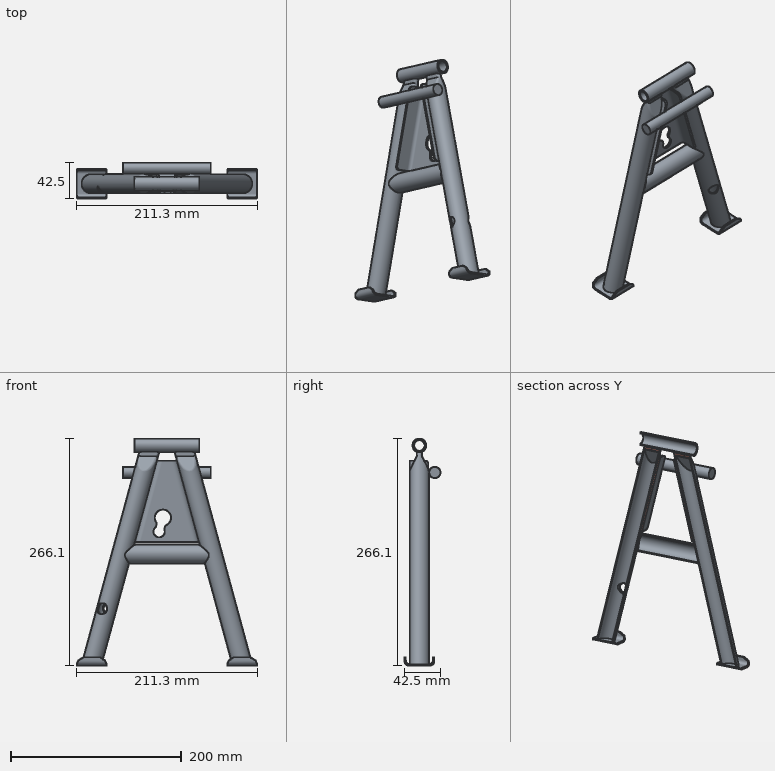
import cadquery as cq
import math

overall_length = 211.28
overall_height = 266.14

leg_diameter = 22.8
tube_wall = 2.0
leg_lean = 15.2
pinch_thickness = 6.2
pinch_top_z = 245.6
pinch_bottom_z = 228.5
pinch_edge_radius = 3.05

leg_hole_diameter = 13.0
leg_hole_z = 67.0
leg_hole_turn = 25.5
leg_hole_offset = 1.4

foot_length = 35.0
foot_width = 35.32
foot_height = 10.1
foot_sheet = 2.0
foot_bend_radius = 6.0
foot_top_length = 19.0
foot_clip_shoulder_length = 31.5
foot_clip_shoulder_z = 6.3
foot_clip_end_z = 2.0

pivot_diameter = 16.25
pivot_bore = 12.25
pivot_length = 76.0

rod_diameter = 13.4
rod_length = 103.0
rod_z = 226.4

crossbar_cope_diameter = 24.1
crossbar_z = 130.7

gusset_bottom_z = 144.9
gusset_top_z = 240.4
gusset_back_y = 10.5
gusset_sheet = 2.5
gusset_bend_radius = 6.4
gusset_corner_radius = 4.0

key_head_diameter = 18.8
key_foot_diameter = 13.0
key_neck_width = 10.0
key_spacing = 16.9
key_head_x = -4.7
key_head_z = 173.4
key_blend_radius = 2.0

selection_margin = 1.0

leg_radius = leg_diameter / 2
leg_bore = leg_diameter - 2 * tube_wall
lean_angle = math.radians(leg_lean)
lean_slope = math.tan(lean_angle)
flare_angle = math.atan2(leg_radius - pinch_thickness / 2, pinch_top_z - pinch_bottom_z)
foot_x = (overall_length - foot_length) / 2
pivot_z = overall_height - pivot_diameter / 2
gusset_front_y = -leg_radius
rod_y = leg_radius + rod_diameter / 2


def leg_axis_x(z):
    """Distance of a leg's axis from the middle plane at height z."""
    return foot_x - (z - foot_sheet) * lean_slope


def leaning_cylinder(diameter):
    """Cylinder along the left leg's axis, longer than the leg at both ends."""
    reach = overall_height / math.cos(lean_angle)
    below = leg_diameter
    return (
        cq.Workplane("XY")
        .workplane(offset=-below)
        .circle(diameter / 2)
        .extrude(reach + below)
        .rotate((0, 0, 0), (0, 0, 1), -90)
        .rotate((0, 0, 0), (0, 1, 0), leg_lean)
        .translate((-foot_x, 0, foot_sheet))
    )


def cylinder_along_x(diameter, length, y, z):
    return (
        cq.Workplane("YZ", origin=(-length / 2, 0, 0))
        .center(y, z)
        .circle(diameter / 2)
        .extrude(length)
    )


def mirrored(body):
    return body.mirror("YZ")


def pinch_prism(half_tip, top_z):
    """Prism along X with two bevels closing to a tip that rises straight to top_z."""
    half_base = leg_diameter
    bevel_start_z = pinch_top_z - (half_base - half_tip) / math.tan(flare_angle)
    return (
        cq.Workplane("YZ", origin=(-overall_length, 0, 0))
        .moveTo(-half_base, foot_sheet)
        .lineTo(-half_base, bevel_start_z)
        .lineTo(-half_tip, pinch_top_z)
        .lineTo(-half_tip, top_z)
        .lineTo(half_tip, top_z)
        .lineTo(half_tip, pinch_top_z)
        .lineTo(half_base, bevel_start_z)
        .lineTo(half_base, foot_sheet)
        .close()
        .extrude(2 * overall_length)
    )


def leg_blank():
    """Solid leg with bevels and a neck whose rims are rounded."""
    blank = leaning_cylinder(leg_diameter).intersect(pinch_prism(pinch_thickness / 2, pivot_z))
    rims = cq.selectors.BoxSelector(
        (-overall_length, -leg_diameter, pinch_bottom_z),
        (overall_length, leg_diameter, pivot_z - selection_margin),
    )
    return blank.edges(rims).edges("not |X").fillet(pinch_edge_radius)


def leg_cavity():
    """Tube bore that keeps one wall under the bevels and closes inside the neck."""
    half_tip = pinch_thickness / 2 - tube_wall / math.cos(flare_angle)
    neck_slot_top = pinch_top_z + half_tip
    return leaning_cylinder(leg_bore).intersect(pinch_prism(half_tip, neck_slot_top))


def make_leg():
    """Left leg without its cross hole, its neck coped to the pivot tube."""
    saddle = cylinder_along_x(pivot_diameter, overall_length, 0, pivot_z)
    return leg_blank().cut(leg_cavity()).cut(saddle)


def leg_hole():
    """Level hole, turned about the vertical and set off the leg's axis."""
    return (
        cq.Workplane("XZ", origin=(0, leg_diameter, 0))
        .center(-leg_hole_offset, 0)
        .circle(leg_hole_diameter / 2)
        .extrude(2 * leg_diameter)
        .rotate((0, 0, 0), (0, 0, 1), -leg_hole_turn)
        .translate((-leg_axis_x(leg_hole_z), 0, leg_hole_z))
    )


def make_foot():
    """Left foot: U-bent sheet, clipped at the flange corners."""
    inner_width = foot_width - 2 * foot_sheet
    outer = (
        cq.Workplane("XY")
        .box(foot_length, foot_width, 2 * foot_height, centered=(True, True, False))
        .edges("|X and <Z")
        .fillet(foot_bend_radius)
    )
    inner = (
        cq.Workplane("XY", origin=(0, 0, foot_sheet))
        .box(foot_length, inner_width, 2 * foot_height, centered=(True, True, False))
        .edges("|X and <Z")
        .fillet(foot_bend_radius - foot_sheet)
    )
    outline = (
        cq.Workplane("XZ", origin=(0, foot_width, 0))
        .moveTo(-foot_length / 2, 0)
        .lineTo(-foot_length / 2, foot_clip_end_z)
        .lineTo(-foot_clip_shoulder_length / 2, foot_clip_shoulder_z)
        .lineTo(-foot_top_length / 2, foot_height)
        .lineTo(foot_top_length / 2, foot_height)
        .lineTo(foot_clip_shoulder_length / 2, foot_clip_shoulder_z)
        .lineTo(foot_length / 2, foot_clip_end_z)
        .lineTo(foot_length / 2, 0)
        .close()
        .extrude(2 * foot_width)
    )
    return outer.cut(inner).intersect(outline).translate((-foot_x, 0, 0))


def make_crossbar():
    """Tube with both ends coped to the legs with a small weld gap."""
    length = 2 * leg_axis_x(crossbar_z)
    bar = cylinder_along_x(leg_diameter, length, 0, crossbar_z)
    bore = cylinder_along_x(leg_bore, length, 0, crossbar_z)
    left_cope = leaning_cylinder(crossbar_cope_diameter)
    return bar.cut(bore).cut(left_cope).cut(mirrored(left_cope))


def gusset_blank(inset):
    """Tapered block touching both legs, shrunk by the inset at the front and sides."""
    def half_width(z):
        return leg_axis_x(z) - (leg_radius + inset) / math.cos(lean_angle)

    bottom_half = half_width(gusset_bottom_z)
    top_half = half_width(gusset_top_z)
    front_y = gusset_front_y + inset
    return (
        cq.Workplane("XZ", origin=(0, gusset_back_y, 0))
        .moveTo(-bottom_half, gusset_bottom_z)
        .lineTo(-top_half, gusset_top_z)
        .lineTo(top_half, gusset_top_z)
        .lineTo(bottom_half, gusset_bottom_z)
        .close()
        .extrude(gusset_back_y - front_y)
        .faces("<Y")
        .edges("not |X")
        .fillet(gusset_bend_radius - inset)
    )


def keyhole():
    """Two circles joined by a neck that runs parallel to the left leg."""
    depth = 2 * gusset_bend_radius
    plane = cq.Workplane("XZ")
    head = plane.circle(key_head_diameter / 2).extrude(depth)
    foot = plane.center(0, -key_spacing).circle(key_foot_diameter / 2).extrude(depth)
    neck = plane.center(0, -key_spacing / 2).rect(key_neck_width, key_spacing).extrude(depth)
    reach = key_neck_width / 2 + selection_margin
    neck_corners = cq.selectors.BoxSelector(
        (-reach, -depth, -key_spacing), (reach, 0, 0)
    )
    return (
        head.union(foot)
        .union(neck)
        .edges(neck_corners)
        .edges("|Y")
        .fillet(key_blend_radius)
        .rotate((0, 0, 0), (0, 1, 0), leg_lean)
        .translate((key_head_x, gusset_front_y + gusset_bend_radius, key_head_z))
    )


def make_gusset():
    channel = gusset_blank(0).cut(gusset_blank(gusset_sheet))
    back_corners = channel.faces(">Y").edges("|X")
    return back_corners.fillet(gusset_corner_radius).cut(keyhole())


plain_leg = make_leg()
left_leg = plain_leg.cut(leg_hole())
right_leg = mirrored(plain_leg)
left_foot = make_foot()
right_foot = mirrored(left_foot)
pivot_tube = cylinder_along_x(pivot_diameter, pivot_length, 0, pivot_z).cut(
    cylinder_along_x(pivot_bore, pivot_length, 0, pivot_z)
)
stop_rod = cylinder_along_x(rod_diameter, rod_length, rod_y, rod_z)
crossbar = make_crossbar()
gusset = make_gusset()

bodies = [left_leg, right_leg, left_foot, right_foot, pivot_tube, stop_rod, crossbar, gusset]
result = cq.Compound.makeCompound([body.val() for body in bodies])